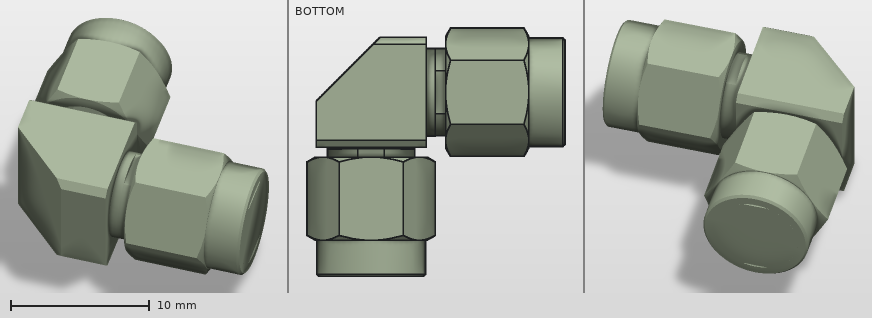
import cadquery as cq
import math


x_arm_angle = 0
y_arm_angle = 90

block_size = 7.93
block_half = block_size / 2
corner_cut = 4.6
edge_chamfer = 0.5

across_flats = 8.0
flat_radius = across_flats / 2
corner_radius = flat_radius / math.cos(math.radians(30))
hex_length = 6.0
hex_end_slope = math.radians(30)
tail_radius = 3.92
tail_length = 2.6
tail_chamfer = 0.17
nut_length = hex_length + tail_length

overall_x = 18.58
overall_y = 17.9
x_nut_start = overall_x - corner_radius - nut_length
y_nut_start = overall_y - corner_radius - nut_length

sleeve_radius = 3.15
x_flat_height = 2.75
y_flat_height = 3.01

x_boss_length = 0.65
x_boss_radius = sleeve_radius
y_boss_length = 0.11
y_boss_radius = 2.15


def turn_to_arm(body, arm_angle):
    """Swing a body from the X axis onto the arm at the given angle."""
    return body.rotate((0, 0, 0), (0, 0, 1), arm_angle)


def make_disc(start, radius, length):
    """Cylinder on the X axis, beginning at x = start."""
    return cq.Workplane("YZ", origin=(start, 0, 0)).circle(radius).extrude(length)


def make_block():
    """Cube with chamfered X edges, the outer corner of the elbow cut off, and a boss for each arm."""
    cube = cq.Workplane("XY").box(block_size, block_size, block_size)
    cube = cube.edges("|X").chamfer(edge_chamfer)
    corner = (
        cq.Workplane("XY", origin=(-block_half, -block_half, -block_half))
        .polyline([(0, 0), (corner_cut, 0), (0, corner_cut)])
        .close()
        .extrude(block_size)
    )
    x_boss = make_disc(block_half, x_boss_radius, x_boss_length)
    y_boss = turn_to_arm(make_disc(block_half, y_boss_radius, y_boss_length), y_arm_angle)
    return cube.cut(corner).union(x_boss).union(y_boss)


def make_nut(start):
    """Nut along X: bored hexagon with conical ends and a round tail, beginning at x = start."""
    hexagon = (
        cq.Workplane("YZ", origin=(start, 0, 0))
        .polygon(6, 2 * corner_radius)
        .extrude(hex_length)
    )
    cone_depth = (corner_radius - flat_radius) * math.tan(hex_end_slope)
    envelope = (
        cq.Workplane("XY", origin=(start, 0, 0))
        .polyline([
            (0, 0),
            (0, flat_radius),
            (cone_depth, corner_radius),
            (hex_length - cone_depth, corner_radius),
            (hex_length, flat_radius),
            (hex_length, 0),
        ])
        .close()
        .revolve(360, (0, 0, 0), (1, 0, 0))
    )
    tail = make_disc(start + hex_length, tail_radius, tail_length).faces(">X").chamfer(tail_chamfer)
    bore = make_disc(start, sleeve_radius, nut_length)
    return hexagon.intersect(envelope).union(tail).cut(bore)


def make_sleeve(nut_start, boss_length, flat_height):
    """Sleeve along X with two flats, from the end of the boss to the open end of the nut."""
    start = block_half + boss_length
    length = nut_start + nut_length - start
    flat_limits = (
        cq.Workplane("YZ", origin=(start, 0, 0))
        .rect(2 * sleeve_radius, 2 * flat_height)
        .extrude(length)
    )
    return make_disc(start, sleeve_radius, length).intersect(flat_limits)


block = make_block()

arms = [
    (x_arm_angle, x_nut_start, x_boss_length, x_flat_height),
    (y_arm_angle, y_nut_start, y_boss_length, y_flat_height),
]
sleeves = []
nuts = []
for arm_angle, nut_start, boss_length, flat_height in arms:
    sleeve = make_sleeve(nut_start, boss_length, flat_height)
    sleeves.append(turn_to_arm(sleeve, arm_angle).val())
    nuts.append(turn_to_arm(make_nut(nut_start), arm_angle).val())

result = cq.Compound.makeCompound([block.val(), *sleeves, *nuts])